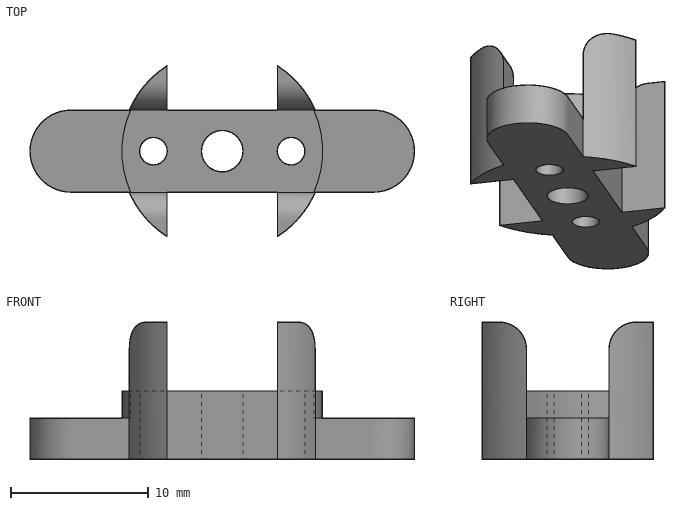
import cadquery as cq
import math

bar_length = 28.0
bar_width = 6.0
bar_height = 3.0

block_height = 4.98
block_radius = 7.3

finger_height = 10.0
finger_inner_x = 4.0
finger_span = 12.45
finger_round = 2.0

centre_hole_diameter = 3.0
side_hole_diameter = 2.0
side_hole_x = 5.0

half_width = bar_width / 2
half_span = finger_span / 2
finger_radius = math.hypot(finger_inner_x, half_span)


def make_bar():
    return cq.Workplane("XY").slot2D(bar_length, bar_width).extrude(bar_height)


def make_block():
    """Disc trimmed to the width of the bar."""
    disc = cq.Workplane("XY").circle(block_radius).extrude(block_height)
    strip = cq.Workplane("XY").rect(bar_length, bar_width).extrude(block_height)
    return disc.intersect(strip)


def finger_arc_point(y):
    """Point on the +X side of the finger circle at the given Y."""
    return (math.sqrt(finger_radius**2 - y**2), y)


def make_finger():
    """Finger at +X +Y, with its inner top edge rounded over."""
    middle_y = (half_width + half_span) / 2
    return (
        cq.Workplane("XY")
        .moveTo(finger_inner_x, half_width)
        .lineTo(*finger_arc_point(half_width))
        .threePointArc(finger_arc_point(middle_y), (finger_inner_x, half_span))
        .close()
        .extrude(finger_height)
        .faces("<Y")
        .edges(">Z")
        .fillet(finger_round)
    )


def make_holes():
    centre_hole = cq.Workplane("XY").circle(centre_hole_diameter / 2).extrude(block_height)
    side_holes = (
        cq.Workplane("XY")
        .pushPoints([(-side_hole_x, 0), (side_hole_x, 0)])
        .circle(side_hole_diameter / 2)
        .extrude(block_height)
    )
    return centre_hole.union(side_holes)


finger = make_finger()
finger_pair = finger.union(finger.mirror("YZ"))
fingers = finger_pair.union(finger_pair.mirror("XZ"))

result = make_bar().union(make_block()).union(fingers).cut(make_holes())